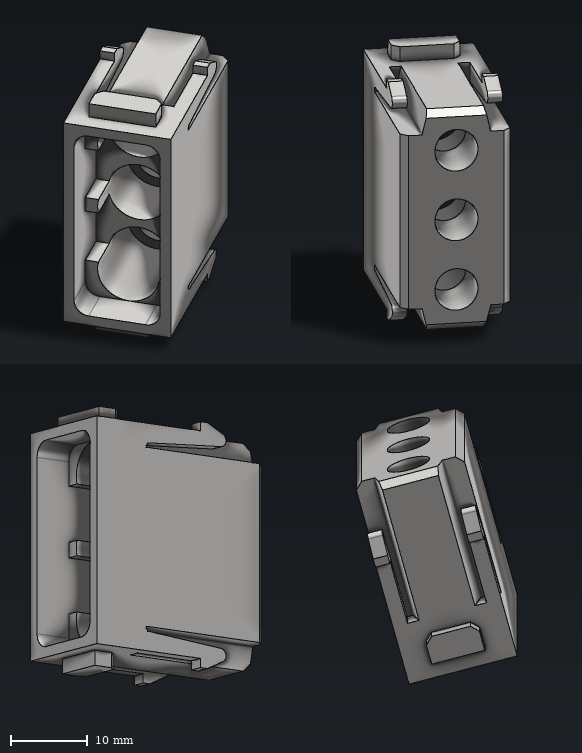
import cadquery as cq


body_width = 14.6
body_depth = 27.2
body_height = 30.2
back_chamfer = 1.0

cavity_width = 11.65
cavity_height = 27.35
cavity_corner_radius = 2.0
cavity_depth = 10.0

contact_pitch = 9.5
contact_heights = [-contact_pitch, 0, contact_pitch]
bore_diameter = 8.3
hole_diameter = 5.68
bore_end = (cavity_depth + body_depth) / 2

guide_front = 5.1
left_guide_reach = 1.03
right_guide_offset = 0.75

recess_floor = 11.87
recess_length = 19.2
recess_fillet = 0.15
rib_top_width = 7.52
rib_root_width = 9.1
latch_width = 2.0
latch_nose_length = 6.35
latch_height = 32.63 / 2
latch_nose_z = 14.23
latch_ramp_start = 6.87
latch_ramp_end = 9.35
latch_catch = 10.45
latch_underside_start = 7.18
latch_underside_z = 13.37
latch_root_start = 18.95
latch_root_z = 12.5
latch_root_chamfer_z = 12.15

overall_height = 34.2
top_tab_width = 9.05
tab_chamfer = 0.95
bottom_tab_width = top_tab_width - 2 * tab_chamfer
tab_front = 2.4
tab_length = 3.63

half_width = body_width / 2
half_height = body_height / 2
recess_end = body_depth - recess_length
above_block = overall_height


def box_between(x_range, y_range, z_range):
    """Box spanning the given (low, high) pairs."""
    lows, highs = zip(x_range, y_range, z_range)
    sizes = [high - low for low, high in zip(lows, highs)]
    return cq.Workplane("XY").box(*sizes, centered=False).translate(lows)


def along_y(y_start):
    """Workplane facing +Y; its local x runs along -X and its local y along +Z."""
    return cq.Workplane("XZ", origin=(0, y_start, 0)).transformed(rotate=(0, 180, 0))


def cavity_block(y_start, y_end):
    """Rounded rectangle of the cavity section, from y_start to y_end."""
    block = along_y(y_start).rect(cavity_width, cavity_height).extrude(y_end - y_start)
    return block.edges("|Y").fillet(cavity_corner_radius)


def contact_cylinders(diameter, y_start, y_end):
    """One cylinder along Y on each contact axis."""
    centres = [(0, z) for z in contact_heights]
    return along_y(y_start).pushPoints(centres).circle(diameter / 2).extrude(y_end - y_start)


def mirrored_in_z(shape):
    return shape.union(shape.mirror("XY"))


def mirrored_in_x(shape):
    return shape.union(shape.mirror("YZ"))


def guide_walls():
    """Walls that fill the ends of the cavity and one key at the middle of the left side."""
    y_range = (guide_front, cavity_depth)
    z_end = cavity_height / 2
    left = (-cavity_width / 2, 0)
    right = (0, cavity_width / 2)
    left_end = box_between(left, y_range, (contact_pitch - left_guide_reach, z_end))
    right_end = box_between(right, y_range, (contact_pitch + right_guide_offset, z_end))
    ends = mirrored_in_z(left_end.union(right_end))
    key = box_between(left, y_range, (-left_guide_reach, left_guide_reach))
    walls = ends.union(key).intersect(cavity_block(*y_range))
    return walls.cut(contact_cylinders(bore_diameter, *y_range))


def side_recess():
    """Cutting tool beside the central rib: flat floor, sloped rib flank, small root fillet."""
    flank_slope = (rib_root_width - rib_top_width) / 2 / (half_height - recess_floor)
    rib_half_at_top = rib_root_width / 2 - flank_slope * (above_block - recess_floor)
    profile = [
        (rib_root_width / 2, recess_floor),
        (body_width, recess_floor),
        (body_width, above_block),
        (rib_half_at_top, above_block),
    ]
    tool = cq.Workplane("XZ", origin=(0, recess_end, 0)).polyline(profile).close()
    tool = tool.extrude(-body_depth)
    root_edge = cq.selectors.NearestToPointSelector(
        (rib_root_width / 2, recess_end + body_depth / 2, recess_floor)
    )
    return tool.edges(root_edge).fillet(recess_fillet)


def latch_arm():
    """Hooked arm at the +X side that reaches back over the recess floor."""
    def at(distance_from_back, z):
        return (body_depth - distance_from_back, z)

    return (
        cq.Workplane("YZ", origin=(half_width - latch_width, 0, 0))
        .moveTo(*at(recess_length, latch_root_chamfer_z))
        .lineTo(*at(latch_root_start, latch_root_z))
        .lineTo(*at(latch_underside_start, latch_underside_z))
        .threePointArc(at(latch_nose_length, latch_nose_z), at(latch_ramp_start, half_height))
        .lineTo(*at(latch_ramp_end, latch_height))
        .lineTo(*at(latch_catch, latch_height))
        .lineTo(*at(latch_catch, half_height))
        .lineTo(*at(recess_length, half_height))
        .close()
        .extrude(latch_width)
    )


def coding_tab(width):
    """Tab above the top face with its two back corners chamfered."""
    x_range = (-width / 2, width / 2)
    y_range = (tab_front, tab_front + tab_length)
    tab = box_between(x_range, y_range, (half_height, overall_height / 2))
    return tab.edges("|Z and >Y").chamfer(tab_chamfer)


body = box_between((-half_width, half_width), (0, body_depth), (-half_height, half_height))
body = body.faces(">Y").edges().chamfer(back_chamfer)

body = body.cut(cavity_block(0, cavity_depth))
body = body.union(guide_walls())
body = body.cut(contact_cylinders(bore_diameter, cavity_depth, bore_end))
body = body.cut(contact_cylinders(hole_diameter, bore_end, body_depth))

body = body.cut(mirrored_in_z(mirrored_in_x(side_recess())))
body = body.union(mirrored_in_z(mirrored_in_x(latch_arm())))

body = body.union(coding_tab(top_tab_width))
body = body.union(coding_tab(bottom_tab_width).mirror("XY"))

result = body